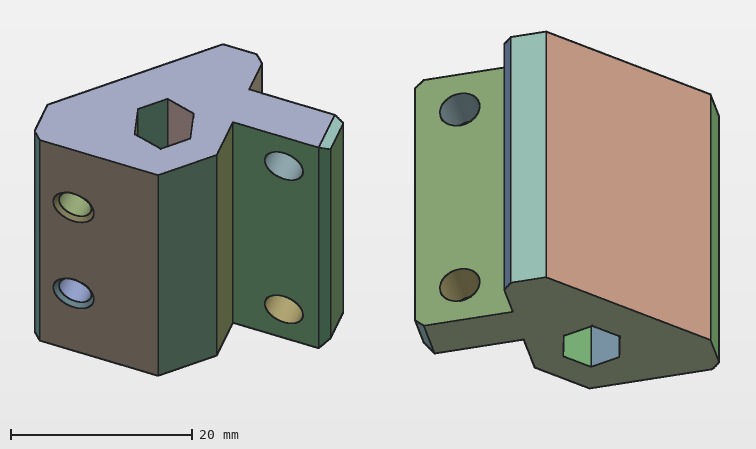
import cadquery as cq

height = 35.0
body_width = 20.0
total_width = 31.1
edge_chamfer = 1.0

corner_cut = 5.0
left_side = 5.0
slope_top = body_width - left_side

flange_front = 10.0
flange_thickness = 5.0
flange_hole_diameter = 4.5
flange_hole_x = 26.0
flange_hole_inset = 5.0

hex_x = 13.0
hex_y = 7.07
hex_corner_diameter = 7.15
hex_rotation = 45.0

blind_diameter = 3.8
blind_mouth_diameter = 4.8
blind_depth = 6.0
blind_x = 5.0
blind_heights = (10.0, 25.0)


def make_body():
    """Prism with one long 45 degree slope and small bevels at its outer corners."""
    return (
        cq.Workplane("XY")
        .moveTo(edge_chamfer, 0)
        .lineTo(body_width - corner_cut, 0)
        .lineTo(body_width, corner_cut)
        .lineTo(body_width, body_width - edge_chamfer)
        .lineTo(body_width - edge_chamfer, body_width)
        .lineTo(slope_top, body_width)
        .lineTo(0, left_side)
        .lineTo(0, edge_chamfer)
        .close()
        .extrude(height)
    )


def make_flange():
    """Plate on the right side, bevelled at its end corners and front end edge."""
    start = body_width - corner_cut
    plate = cq.Workplane("XY").box(
        total_width - start, flange_thickness, height, centered=False
    ).translate((start, flange_front, 0))
    plate = plate.edges("|Y and >X").chamfer(edge_chamfer)
    front_end_edge = cq.selectors.NearestToPointSelector(
        (total_width, flange_front, height / 2)
    )
    return plate.edges(front_end_edge).chamfer(edge_chamfer)


def y_cylinder(diameter, x, y, z, length):
    """Cylinder running toward +Y from the given point."""
    return cq.Workplane(
        cq.Solid.makeCylinder(diameter / 2, length, cq.Vector(x, y, z), cq.Vector(0, 1, 0))
    )


def blind_hole(z):
    """Flat-bottomed hole with a conical mouth at 45 degrees."""
    mouth_depth = (blind_mouth_diameter - blind_diameter) / 2
    mouth = cq.Solid.makeCone(
        blind_mouth_diameter / 2, blind_diameter / 2, mouth_depth,
        cq.Vector(blind_x, 0, z), cq.Vector(0, 1, 0),
    )
    return y_cylinder(blind_diameter, blind_x, 0, z, blind_depth).union(cq.Workplane(mouth))


def hex_passage():
    """Hexagonal prism through the full height."""
    return (
        cq.Workplane("XY")
        .polygon(6, hex_corner_diameter)
        .extrude(height)
        .rotate((0, 0, 0), (0, 0, 1), hex_rotation)
        .translate((hex_x, hex_y, 0))
    )


result = make_body().union(make_flange()).cut(hex_passage())

for z in (flange_hole_inset, height - flange_hole_inset):
    result = result.cut(
        y_cylinder(flange_hole_diameter, flange_hole_x, flange_front, z, flange_thickness)
    )

for z in blind_heights:
    result = result.cut(blind_hole(z))